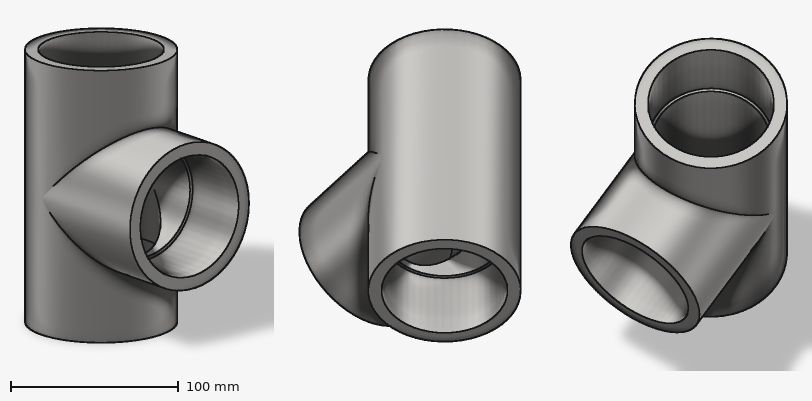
import cadquery as cq

run_length = 169.0
branch_reach = run_length / 2
outer_diameter = 91.0
socket_diameter = 75.0
bore_diameter = 71.0
socket_depth = 44.0


def run_cylinder(diameter):
    """Cylinder along Z over the whole run, centred on the origin."""
    return cq.Workplane("XY").circle(diameter / 2).extrude(run_length / 2, both=True)


def branch_cylinder(diameter):
    """Cylinder along X from the run axis to the branch face."""
    return cq.Workplane("YZ").circle(diameter / 2).extrude(branch_reach)


def cut_socket(body, face):
    """Widen the bore at an open end, leaving a stop shoulder for the pipe."""
    return (
        body.faces(face)
        .workplane(centerOption="CenterOfBoundBox")
        .circle(socket_diameter / 2)
        .cutBlind(-socket_depth)
    )


outside = run_cylinder(outer_diameter).union(branch_cylinder(outer_diameter))
bores = run_cylinder(bore_diameter).union(branch_cylinder(bore_diameter))
result = outside.cut(bores)

for open_end in (">Z", "<Z", ">X"):
    result = cut_socket(result, open_end)